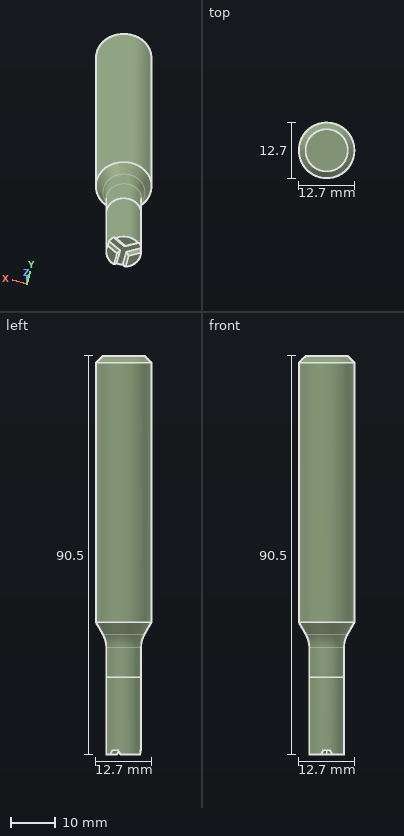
import cadquery as cq
import math

overall_length = 90.5
shank_radius = 12.7 / 2
neck_radius = 8.0 / 2
tip_length = 17.6

top_chamfer = 1.5
shoulder_height = 30.05
taper_angle = math.radians(30)
neck_fillet_radius = 6.0

groove_count = 3
groove_depth = 1.0
groove_mouth_width = 2.7
groove_floor_width = 1.45
first_groove_angle = 30.0


def make_shank():
    """Chamfered shank that tapers and blends tangentially into a thin neck."""
    blend_radius = neck_radius + neck_fillet_radius * (1 - math.cos(taper_angle))
    blend_top = shoulder_height - (shank_radius - blend_radius) / math.tan(taper_angle)
    blend_bottom = blend_top - neck_fillet_radius * math.sin(taper_angle)
    half_angle = taper_angle / 2
    blend_middle = (
        neck_radius + neck_fillet_radius * (1 - math.cos(half_angle)),
        blend_bottom + neck_fillet_radius * math.sin(half_angle),
    )
    profile = (
        cq.Workplane("XZ")
        .moveTo(0, tip_length)
        .lineTo(neck_radius, tip_length)
        .lineTo(neck_radius, blend_bottom)
        .threePointArc(blend_middle, (blend_radius, blend_top))
        .lineTo(shank_radius, shoulder_height)
        .lineTo(shank_radius, overall_length - top_chamfer)
        .lineTo(shank_radius - top_chamfer, overall_length)
        .lineTo(0, overall_length)
        .close()
    )
    return profile.revolve(360, (0, 0, 0), (0, 1, 0))


def make_groove_cutter(angle):
    """Trapezoidal bar rising from the end face, from the axis out to the rim."""
    bar_length = 2 * neck_radius
    section = (
        cq.Workplane("YZ")
        .moveTo(-groove_mouth_width / 2, 0)
        .lineTo(-groove_floor_width / 2, groove_depth)
        .lineTo(groove_floor_width / 2, groove_depth)
        .lineTo(groove_mouth_width / 2, 0)
        .close()
    )
    bar = section.extrude(bar_length)
    return bar.rotate((0, 0, 0), (0, 0, 1), angle)


def make_tip():
    """Cylindrical tip with evenly spaced trapezoidal grooves across its end."""
    tip = cq.Workplane("XY").circle(neck_radius).extrude(tip_length)
    for index in range(groove_count):
        angle = first_groove_angle + index * 360 / groove_count
        tip = tip.cut(make_groove_cutter(angle))
    return tip


shank = make_shank()
tip = make_tip()

result = cq.Compound.makeCompound([shank.val(), tip.val()])